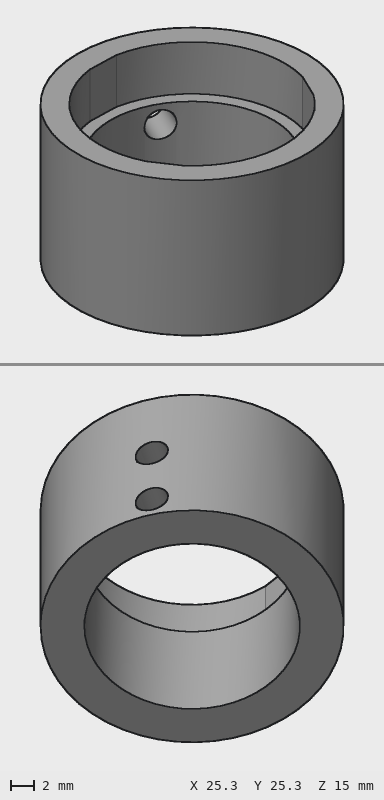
import cadquery as cq

outer_diameter = 25.3
height = 15.0
bore_diameter = 18.0

recess_diameter = 20.5
recess_depth = 5.0
flat_distance = 10.12
flat_angles = (90, 210, 330)

hole_diameter = 2.8
hole_heights = (2.0, 8.0)


def make_ring():
    return (
        cq.Workplane("XY")
        .circle(outer_diameter / 2)
        .circle(bore_diameter / 2)
        .extrude(height)
    )


def make_recess():
    """Cylinder trimmed by the flats, reaching down from the top face."""
    floor = cq.Workplane("XY").workplane(offset=height - recess_depth)
    recess = floor.circle(recess_diameter / 2).extrude(recess_depth)
    for angle in flat_angles:
        trim = (
            floor.center(flat_distance + recess_diameter / 2, 0)
            .rect(recess_diameter, recess_diameter)
            .extrude(recess_depth)
            .rotate((0, 0, 0), (0, 0, 1), angle)
        )
        recess = recess.cut(trim)
    return recess


def make_radial_hole(hole_height):
    """Cylinder running from the axis out through the -X wall."""
    return (
        cq.Workplane("YZ")
        .center(0, hole_height)
        .circle(hole_diameter / 2)
        .extrude(-outer_diameter)
    )


result = make_ring().cut(make_recess())
for hole_height in hole_heights:
    result = result.cut(make_radial_hole(hole_height))